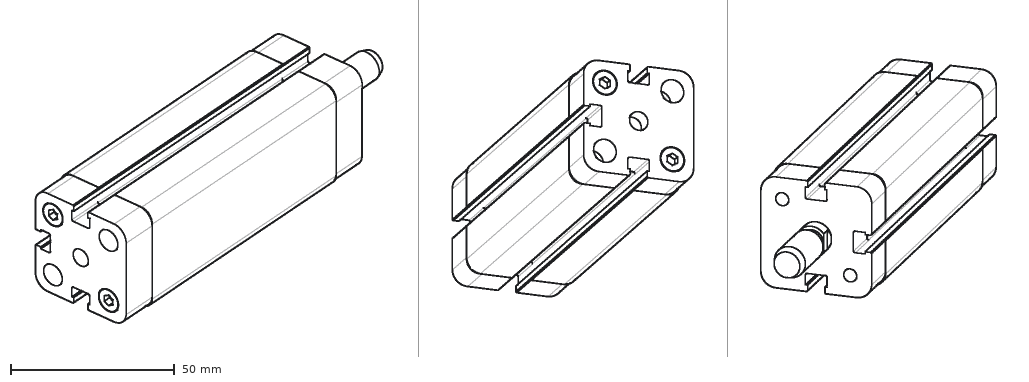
import cadquery as cq
import math

total_length = 139.5
body_side = 36.1
cap_inset = 0.07
cap_side = body_side - 2 * cap_inset
body_length = 113.0
cap_length = 12.4
tube_length = body_length - 2 * cap_length
cap_corner_radius = 4.9
tube_corner_radius = 4.3

slot_mouth_width = 6.1
slot_throat_width = 5.6
slot_mouth_chamfer_depth = 0.4
slot_inner_width = 7.0
cap_slot_depth = 6.0
tube_slot_depth = 6.1
slot_lip = 2.2
slot_corner_radius = 0.5
slot_directions = (0, -90, 180)

hole_offset = 11.0
mount_hole_diameter = 4.2
mount_bore_diameter = 7.4
mount_bore_depth = 11.2
screw_bore_diameter = 8.0
screw_head_diameter = 7.5
screw_bore_depth = 4.2
socket_across_flats = 3.3
socket_depth = 2.5
centre_hole_diameter = 6.0
centre_hole_depth = 5.6

rod_diameter = 10.0
tip_diameter = 8.4
tip_chamfer_length = 2.7
neck_diameter = 7.8
neck_taper_length = 0.7
thread_length = 18.7
neck_end = 22.2
wrench_flat_length = 3.3
wrench_width = 8.0


def rounded_block(start, length, side, corner_radius):
    """Square block along Y with rounded long edges."""
    block = cq.Workplane("XY").box(side, length, side)
    return block.edges("|Y").fillet(corner_radius).translate((0, start + length / 2, 0))


def sensor_slot(start, length, depth, angle):
    """Undercut slot along one stretch of the body, shaped at +Z and then turned about Y."""
    top = body_side / 2
    pocket_height = depth - slot_lip
    mouth = (
        cq.Workplane("XZ", origin=(0, start, 0))
        .moveTo(-slot_mouth_width / 2, top)
        .lineTo(-slot_throat_width / 2, top - slot_mouth_chamfer_depth)
        .lineTo(-slot_throat_width / 2, top - slot_lip)
        .lineTo(slot_throat_width / 2, top - slot_lip)
        .lineTo(slot_throat_width / 2, top - slot_mouth_chamfer_depth)
        .lineTo(slot_mouth_width / 2, top)
        .close()
        .extrude(-length)
    )
    pocket = cq.Workplane("XY").box(slot_inner_width, length, pocket_height)
    pocket = pocket.edges("|Y and <Z").fillet(slot_corner_radius)
    pocket = pocket.translate((0, start + length / 2, top - slot_lip - pocket_height / 2))
    return mouth.union(pocket).rotate((0, 0, 0), (0, 1, 0), angle)


def rear_cylinder(x, z, diameter, depth):
    """Cylinder running from the rear face into the body."""
    return cq.Workplane("XZ", origin=(x, 0, z)).circle(diameter / 2).extrude(-depth)


def mount_hole(x, z):
    """Through hole with a wider bore at the rear."""
    through = rear_cylinder(x, z, mount_hole_diameter, body_length)
    return through.union(rear_cylinder(x, z, mount_bore_diameter, mount_bore_depth))


def screw_recess(x, z):
    """Clearance ring around a flush screw head, together with its hexagon socket."""
    ring = rear_cylinder(x, z, screw_bore_diameter, screw_bore_depth)
    ring = ring.cut(rear_cylinder(x, z, screw_head_diameter, screw_bore_depth))
    across_corners = socket_across_flats / math.cos(math.pi / 6)
    socket = cq.Workplane("XZ").polygon(6, across_corners).extrude(-socket_depth)
    socket = socket.rotate((0, 0, 0), (0, 1, 0), 90).translate((x, 0, z))
    return ring.union(socket)


def piston_rod():
    """Turned rod with a chamfered tip, an undercut neck and two wrench flats."""
    rod_radius = rod_diameter / 2
    neck_radius = neck_diameter / 2
    thread_end = total_length - thread_length
    flat_start = total_length - neck_end
    rod = (
        cq.Workplane("XY")
        .moveTo(0, body_length)
        .lineTo(rod_radius, body_length)
        .lineTo(rod_radius, flat_start)
        .lineTo(neck_radius, flat_start)
        .lineTo(neck_radius, thread_end - neck_taper_length)
        .lineTo(rod_radius, thread_end)
        .lineTo(rod_radius, total_length - tip_chamfer_length)
        .lineTo(tip_diameter / 2, total_length)
        .lineTo(0, total_length)
        .close()
        .revolve(360, (0, 0, 0), (0, 1, 0))
    )
    runout = (rod_diameter - wrench_width) / 2
    for side in (-1, 1):
        flat = (
            cq.Workplane("XY")
            .moveTo(side * wrench_width / 2, flat_start)
            .lineTo(side * rod_radius, flat_start)
            .lineTo(side * rod_radius, flat_start - wrench_flat_length - runout)
            .lineTo(side * wrench_width / 2, flat_start - wrench_flat_length)
            .close()
            .extrude(rod_radius, both=True)
        )
        rod = rod.cut(flat)
    return rod


def body_section(start, length, side, corner_radius, depth):
    """One stretch of the body with its sensor slots."""
    section = rounded_block(start, length, side, corner_radius)
    for direction in slot_directions:
        section = section.cut(sensor_slot(start, length, depth, direction))
    return section


result = body_section(cap_length, tube_length, body_side, tube_corner_radius, tube_slot_depth)
for cap_start in (0, body_length - cap_length):
    cap = body_section(cap_start, cap_length, cap_side, cap_corner_radius, cap_slot_depth)
    result = result.union(cap)

for sign in (-1, 1):
    result = result.cut(mount_hole(sign * hole_offset, sign * hole_offset))
    result = result.cut(screw_recess(sign * hole_offset, -sign * hole_offset))
result = result.cut(rear_cylinder(0, 0, centre_hole_diameter, centre_hole_depth))

result = result.union(piston_rod())